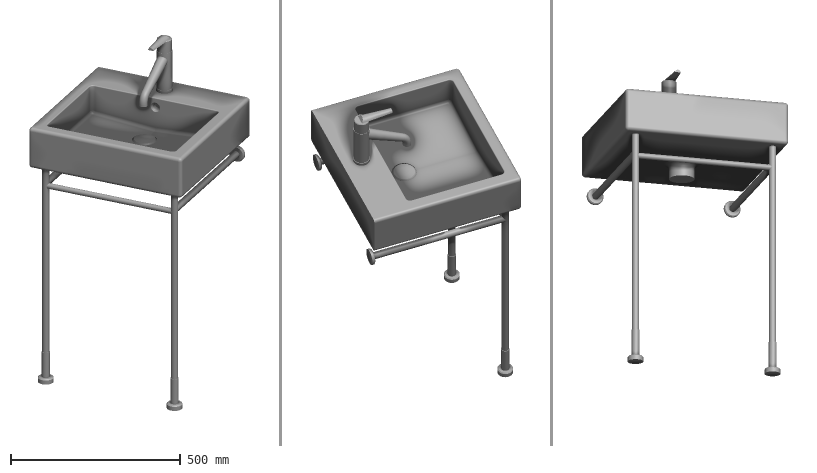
import cadquery as cq
import math


basin_width = 500.0
basin_depth = 470.0
basin_height = 130.0
basin_top = 835.0
basin_bottom = basin_top - basin_height
edge_radius = 10.0

bowl_width = 420.0
bowl_back = -122.0
bowl_front = -432.0
bowl_depth = 91.0
floor_fall = 15.0
front_draft = 5.0
bowl_corner_radius = 12.0
bowl_floor_radius = 10.0
bowl_rim_radius = 3.0

overflow_diameter = 20.0
overflow_depth = 20.0
overflow_drop = 30.0
overflow_chamfer = 5.0

drain_y = -196.0
neck_diameter = 75.0
neck_length = 46.0
neck_flare = 16.0
plug_diameter = 74.0
plug_recess = 6.0
plug_rise = 5.0
plug_bevel = 5.0
dome_height = 4.0

faucet_y = -60.0
faucet_base_diameter = 50.0
faucet_base_height = 9.0
faucet_body_diameter = 47.0
faucet_body_height = 130.0

spout_start_diameter = 35.0
spout_end_diameter = 25.0
spout_slope = 27.5
spout_axis_height = 112.0
spout_length = 145.0
spout_bend_radius = 29.0
outlet_length = 7.0

handle_cap_diameter = 45.0
handle_cap_height = 40.0
handle_cap_chamfer = 2.0
lever_back = 5.0
lever_length = 100.0
lever_back_width = 34.0
lever_tip_width = 18.0
lever_crown_height = 10.0
lever_tip_height = 8.0
lever_back_slope = 7.0

tube_diameter = 21.0
crossbar_diameter = 17.0
leg_spacing = 421.0
leg_y = -432.0
rail_drop = 59.0
crossbar_drop = 65.0

rosette_diameter = 50.0
rosette_thickness = 10.0
foot_diameter = 47.0
foot_thickness = 16.0
flange_chamfer = 3.0
sleeve_diameter = 24.0
sleeve_top = 97.0

rail_z = basin_bottom - rail_drop
crossbar_z = basin_bottom - crossbar_drop
leg_x = leg_spacing / 2
bowl_floor_z = basin_top - bowl_depth
drain_floor_z = bowl_floor_z - floor_fall
handle_bottom = basin_top + faucet_body_height
lever_bottom = handle_bottom + handle_cap_height
lever_back_height = lever_crown_height + lever_back_slope * (
    (lever_crown_height - lever_tip_height) / (lever_length - lever_back_slope))

select_margin = 1.0


def cylinder(diameter, height, base):
    """Upright cylinder standing on the point base."""
    return cq.Workplane("XY", origin=base).circle(diameter / 2).extrude(height)


def rod(diameter, start, end):
    """Round bar between two points."""
    direction = cq.Vector(*end) - cq.Vector(*start)
    plane = cq.Plane(origin=start, normal=direction.toTuple())
    return cq.Workplane(plane).circle(diameter / 2).extrude(direction.Length)


def flange(diameter, thickness):
    """Upright disc with a chamfered top, standing on the origin."""
    return cylinder(diameter, thickness, (0, 0, 0)).faces(">Z").chamfer(flange_chamfer)


def make_half_bowl():
    """The +X half of the cavity: a leaning front wall and a floor that falls towards X = 0."""
    half_width = bowl_width / 2
    across = (
        cq.Workplane("XZ")
        .polyline([(0, basin_top), (half_width, basin_top),
                   (half_width, bowl_floor_z), (0, drain_floor_z)])
        .close()
        .extrude(basin_depth)
    )
    along = (
        cq.Workplane("YZ")
        .polyline([(bowl_front, basin_top), (bowl_back, basin_top),
                   (bowl_back, drain_floor_z), (bowl_front + front_draft, drain_floor_z)])
        .close()
        .extrude(half_width)
    )
    half_bowl = across.intersect(along)
    outer_half = half_width / 2
    wall_corners = cq.selectors.BoxSelector(
        (outer_half, -basin_depth, bowl_floor_z + select_margin),
        (half_width + select_margin, 0, basin_top - select_margin))
    half_bowl = half_bowl.edges(wall_corners).fillet(bowl_corner_radius)
    floor_outline = cq.selectors.BoxSelector(
        (select_margin, -basin_depth, drain_floor_z - select_margin),
        (half_width + select_margin, 0, bowl_floor_z + select_margin))
    return half_bowl.edges(floor_outline).fillet(bowl_floor_radius)


def make_overflow():
    """Blind hole into the back wall of the bowl, chamfered at its mouth."""
    hole_z = basin_top - overflow_drop
    mouth = (0, bowl_back, hole_z)
    hole = rod(overflow_diameter, mouth, (0, bowl_back + overflow_depth, hole_z))
    flare = cq.Workplane(
        cq.Solid.makeCone(overflow_diameter / 2 + overflow_chamfer, overflow_diameter / 2, overflow_chamfer,
                          cq.Vector(*mouth), cq.Vector(0, 1, 0)))
    return hole.union(flare)


def make_neck():
    """Round drain neck under the basin, flaring out in a cove where it meets the underside."""
    radius = neck_diameter / 2
    return (
        cq.Workplane("XZ", origin=(0, drain_y, basin_bottom))
        .lineTo(radius + neck_flare, 0)
        .radiusArc((radius, -neck_flare), -neck_flare)
        .lineTo(radius, -neck_length)
        .lineTo(0, -neck_length)
        .close()
        .revolve(360, (0, 0, 0), (0, 1, 0))
    )


def make_basin():
    """Rounded block with a flat back, hollowed by the bowl, with the neck and its drain recess."""
    basin = (
        cq.Workplane("XY", origin=(0, -basin_depth, basin_bottom))
        .box(basin_width, basin_depth, basin_height, centered=(True, False, False))
        .edges("not >Y")
        .fillet(edge_radius)
    )
    half_bowl = make_half_bowl()
    basin = basin.cut(half_bowl).cut(half_bowl.mirror("YZ"))
    bowl_reach = bowl_width / 2 + select_margin
    rim = cq.selectors.BoxSelector(
        (-bowl_reach, bowl_front - select_margin, basin_top - select_margin),
        (bowl_reach, bowl_back + select_margin, basin_top + select_margin))
    basin = basin.edges(rim).fillet(bowl_rim_radius)

    drain_recess = cylinder(plug_diameter, basin_height, (0, drain_y, drain_floor_z - plug_recess))
    return basin.union(make_neck()).cut(drain_recess).cut(make_overflow())


def make_drain_plug():
    """Disc filling the drain recess and standing proud of the floor, with a bevelled rim and a domed top."""
    radius = plug_diameter / 2
    dome_edge = radius - plug_bevel
    dome_radius = (dome_edge ** 2 + dome_height ** 2) / (2 * dome_height)
    rim_z = plug_recess + plug_rise
    return (
        cq.Workplane("XZ", origin=(0, drain_y, drain_floor_z - plug_recess))
        .lineTo(radius, 0)
        .lineTo(radius, plug_recess)
        .lineTo(dome_edge, rim_z)
        .radiusArc((0, rim_z + dome_height), -dome_radius)
        .close()
        .revolve(360, (0, 0, 0), (0, 1, 0))
    )


def make_spout():
    """Tapered tube sloping down from the body, ending in a bend that turns straight down."""
    slope = math.radians(spout_slope)
    forward = cq.Vector(0, -math.cos(slope), -math.sin(slope))
    start = cq.Vector(0, faucet_y, basin_top + spout_axis_height)
    end = start + forward * spout_length
    tube = (
        cq.Workplane(cq.Plane(origin=start, xDir=(1, 0, 0), normal=forward))
        .circle(spout_start_diameter / 2)
        .workplane(offset=spout_length)
        .circle(spout_end_diameter / 2)
        .loft()
    )
    bend_angle = 90 - spout_slope
    bend = (
        cq.Workplane(cq.Plane(origin=end, xDir=(1, 0, 0), normal=forward))
        .circle(spout_end_diameter / 2)
        .revolve(bend_angle, (0, -spout_bend_radius, 0), (1, -spout_bend_radius, 0))
    )
    outlet = (
        bend.faces("<Z")
        .workplane(centerOption="CenterOfBoundBox")
        .circle(spout_end_diameter / 2)
        .extrude(outlet_length)
    )
    return tube.union(outlet)


def make_faucet_body(spout):
    """Upright column on a wider base, with the spout let into its front."""
    base = cylinder(faucet_base_diameter, faucet_base_height, (0, faucet_y, basin_top))
    body = cylinder(faucet_body_diameter, faucet_body_height, (0, faucet_y, basin_top))
    return base.union(body).cut(spout)


def lever_section(sketch, width, height):
    """Flat-bottomed section with an arched top."""
    return (
        sketch.moveTo(-width / 2, 0)
        .threePointArc((0, height), (width / 2, 0))
        .close()
    )


def make_faucet_handle():
    """Round cap with a flat lever, arched on top and tapering towards its tip."""
    cap = cylinder(handle_cap_diameter, handle_cap_height, (0, faucet_y, handle_bottom))
    cap = cap.faces(">Z").chamfer(handle_cap_chamfer)
    lever_plane = cq.Workplane("XZ", origin=(0, faucet_y + lever_back, lever_bottom))
    lever = lever_section(lever_plane, lever_back_width, lever_back_height)
    lever = lever_section(lever.workplane(offset=lever_length), lever_tip_width, lever_tip_height).loft()
    back_slope = (
        cq.Workplane("YZ", origin=(0, faucet_y + lever_back, lever_bottom))
        .polyline([(0, 0), (-lever_back_slope, lever_back_height), (0, lever_back_height)])
        .close()
        .extrude(lever_back_width, both=True)
    )
    return cap.union(lever.cut(back_slope))


def make_leg(side):
    """Leg tube with its sleeve and foot; side is -1 or 1."""
    foot_point = (side * leg_x, leg_y, 0)
    tube = cylinder(tube_diameter, basin_bottom, foot_point)
    sleeve = cylinder(sleeve_diameter, sleeve_top, foot_point)
    foot = flange(foot_diameter, foot_thickness).translate(foot_point)
    return tube.union(sleeve).union(foot)


def make_side_frame(side):
    """Leg joined to the rail that runs back to its wall rosette."""
    wall_point = (side * leg_x, 0, rail_z)
    rail = rod(tube_diameter, (side * leg_x, leg_y, rail_z), wall_point)
    rosette = flange(rosette_diameter, rosette_thickness).rotate((0, 0, 0), (1, 0, 0), 90)
    return make_leg(side).union(rail).union(rosette.translate(wall_point))


def make_crossbar(side_frames):
    """Bar between the two legs, its ends cut round them."""
    bar = rod(crossbar_diameter, (-leg_x, leg_y, crossbar_z), (leg_x, leg_y, crossbar_z))
    for frame in side_frames:
        bar = bar.cut(frame)
    return bar


basin = make_basin()
drain_plug = make_drain_plug()
spout = make_spout()
faucet_body = make_faucet_body(spout)
faucet_handle = make_faucet_handle()
side_frames = [make_side_frame(side) for side in (-1, 1)]
crossbar = make_crossbar(side_frames)

result = cq.Compound.makeCompound([
    basin.val(),
    drain_plug.val(),
    faucet_body.val(),
    spout.val(),
    faucet_handle.val(),
    *[frame.val() for frame in side_frames],
    crossbar.val(),
])